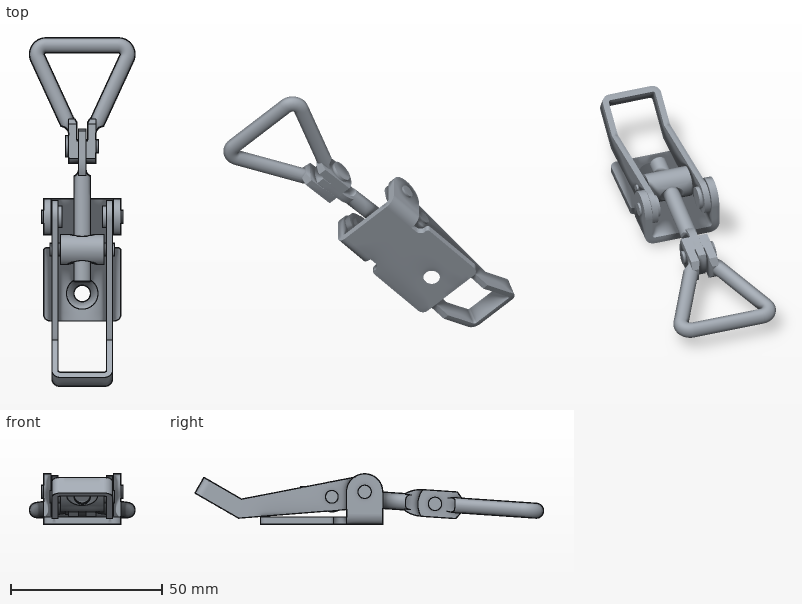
import cadquery as cq
import math


sheet = 2.5
base_half_width = 12.8
base_front_y = -34.5
ear_radius = 6.0
pivot_z = 10.8
ear_bend_radius = 3.4
ear_inner_x = base_half_width - sheet
front_corner_radius = 2.2
relief_end_y = -10.25
relief_inner_x = base_half_width - ear_bend_radius
relief_inner_radius = 2.0
relief_corner_radius = 1.0
screw_y = -25.4
screw_hole_radius = 2.7
countersink_radius = screw_hole_radius + sheet

lever_thickness = 2.05
lever_half_width = 10.05
lever_inner_x = lever_half_width - lever_thickness
lever_head_radius = 5.4
tip_angle = math.radians(30)
tip_bottom_y = -56.15
tip_bottom_z = 10.4
tip_height = 6.0
tip_top_length = 14.35
tip_bottom_length = 16.7
lever_corner_radius = 2.8

rivet_radius = 2.2
rivet_head_radius = 3.6
rivet_head_x = 6.75
rivet_end_x = 13.5

trunnion_y = -10.86
trunnion_z = 9.16
barrel_radius = 5.0
barrel_half_length = 7.2
journal_radius = 2.1
journal_end_x = 10.7
rod_radius = 2.75
front_countersink_start = 3.65
rear_countersink_start = 4.2
countersink_half_angle = math.radians(60)

rod_tilt = 3.9
rod_front = -10.6
rod_shoulder = 24.3
neck_fillet = 2.0
tongue_half_thickness = 1.3
tongue_half_height = 4.4
clevis_pin_at = 34.2
tongue_rear = clevis_pin_at + 5.8
tongue_rear_bulge = 1.0
tongue_taper_start = clevis_pin_at - 4.7
tongue_taper_radius = 9.2

pin_radius = 2.2
pin_head_radius = 3.6
pin_head_end_x = 5.6
pin_tail_end_x = 5.4

lug_outer_x = 4.5
lug_half_height = 4.45
lug_front = clevis_pin_at - 5.65
lug_front_bulge = 1.3
lug_rear = clevis_pin_at + 8.9
lug_rear_slope_length = 1.8
lug_rear_slope_height = 2.2
lug_step = clevis_pin_at + 1.6
lug_gap_half = 1.75
lug_corner_width = 0.6
wire_radius = 2.5
loop_bend_radius = 3.0
loop_half_width = 17.485
loop_bend_x = loop_half_width - wire_radius - loop_bend_radius
loop_bar_at = 67.69
leg_angle = math.radians(24.7)
leg_length = 30.0
leg_relief_x = 7.0
leg_relief_at = 38.3
leg_relief_depth = 6.0
leg_relief_radius = leg_relief_x - lug_outer_x


def x_cylinder(radius, start_x, end_x, y, z):
    """Round bar along X between two X positions."""
    return (
        cq.Workplane("YZ", origin=(start_x, 0, 0))
        .center(y, z)
        .circle(radius)
        .extrude(end_x - start_x)
    )


def tilt_to_rod(body):
    """Move a body from the rod's frame to its place on the latch."""
    return body.rotate((0, 0, 0), (1, 0, 0), -rod_tilt).translate((0, trunnion_y, trunnion_z))


def cone_along_y(start_y, start_radius, end_y, end_radius):
    """Cone frustum, or cylinder if both radii match, about the Y axis."""
    return (
        cq.Workplane("XY")
        .moveTo(0, start_y)
        .lineTo(start_radius, start_y)
        .lineTo(end_radius, end_y)
        .lineTo(0, end_y)
        .close()
        .revolve(360, (0, 0, 0), (0, 1, 0))
    )


def make_base():
    """Plate with two bent-up round ears and a countersunk screw hole."""
    length = ear_radius - base_front_y
    middle_y = (ear_radius + base_front_y) / 2
    ears = (
        cq.Workplane("XY")
        .rect(2 * base_half_width, 2 * ear_radius)
        .extrude(pivot_z)
        .edges("|Y and <Z")
        .fillet(ear_bend_radius)
        .union(x_cylinder(ear_radius, -base_half_width, base_half_width, 0, pivot_z))
    )
    channel = (
        cq.Workplane("XY", origin=(0, 0, sheet))
        .rect(2 * ear_inner_x, 2 * ear_radius)
        .extrude(pivot_z + ear_radius)
        .edges("|Y and <Z")
        .fillet(ear_bend_radius - sheet)
    )
    ears = ears.cut(channel)

    neck = (
        cq.Workplane("XY")
        .center(0, middle_y)
        .rect(2 * relief_inner_x, length)
        .extrude(sheet)
    )
    plate_length = relief_end_y - base_front_y
    plate = (
        cq.Workplane("XY")
        .center(0, base_front_y + plate_length / 2)
        .rect(2 * base_half_width, plate_length)
        .extrude(sheet)
        .edges("|Z and <Y")
        .fillet(front_corner_radius)
        .edges("|Z and >Y")
        .fillet(relief_corner_radius)
    )
    base = ears.union(neck).union(plate)
    for side in (-1, 1):
        corner_x = side * relief_inner_x
        gusset = (
            cq.Workplane("XY")
            .moveTo(corner_x, relief_end_y)
            .lineTo(corner_x + side * relief_inner_radius, relief_end_y)
            .radiusArc(
                (corner_x, relief_end_y + relief_inner_radius),
                side * relief_inner_radius,
            )
            .close()
            .extrude(sheet)
        )
        base = base.union(gusset)

    screw_hole = cq.Workplane("XY").add(
        cq.Solid.makeCone(screw_hole_radius, countersink_radius, sheet).translate(
            cq.Vector(0, screw_y, 0)
        )
    )
    pivot_holes = x_cylinder(rivet_radius, -base_half_width, base_half_width, 0, pivot_z)
    return base.cut(screw_hole).cut(pivot_holes)


def head_tangent_point(y, z, side):
    """Point where the line from (y, z) touches the lever head; side is +1 above, -1 below."""
    distance = math.hypot(y, z - pivot_z)
    toward = math.atan2(z - pivot_z, y)
    angle = toward - side * math.acos(lever_head_radius / distance)
    return (
        lever_head_radius * math.cos(angle),
        pivot_z + lever_head_radius * math.sin(angle),
    )


def make_lever():
    """U-shaped handle: two side plates joined by a cross plate at the bent-up tip."""
    cos_tip = math.cos(tip_angle)
    sin_tip = math.sin(tip_angle)
    tip_bottom = (tip_bottom_y, tip_bottom_z)
    tip_top = (tip_bottom_y + tip_height * sin_tip, tip_bottom_z + tip_height * cos_tip)
    bend_top = (tip_top[0] + tip_top_length * cos_tip, tip_top[1] - tip_top_length * sin_tip)
    bend_bottom = (
        tip_bottom[0] + tip_bottom_length * cos_tip,
        tip_bottom[1] - tip_bottom_length * sin_tip,
    )
    lever = (
        cq.Workplane("YZ", origin=(-lever_half_width, 0, 0))
        .moveTo(*head_tangent_point(*bend_top, 1))
        .threePointArc((lever_head_radius, pivot_z), head_tangent_point(*bend_bottom, -1))
        .lineTo(*bend_bottom)
        .lineTo(*tip_bottom)
        .lineTo(*tip_top)
        .lineTo(*bend_top)
        .close()
        .extrude(2 * lever_half_width)
    )
    tip_plane = cq.Plane(
        origin=(0, tip_bottom_y, tip_bottom_z),
        xDir=(1, 0, 0),
        normal=(0, sin_tip, cos_tip),
    )
    reach = 2 * abs(tip_bottom_y)

    def tip_block(half_width, front, corner_radius):
        return (
            cq.Workplane(tip_plane)
            .moveTo(-half_width, reach)
            .lineTo(-half_width, front + corner_radius)
            .radiusArc((-half_width + corner_radius, front), -corner_radius)
            .lineTo(half_width - corner_radius, front)
            .radiusArc((half_width, front + corner_radius), -corner_radius)
            .lineTo(half_width, reach)
            .close()
            .extrude(reach, both=True)
        )

    lever = lever.intersect(tip_block(lever_half_width, 0, lever_corner_radius))
    inner_radius = lever_corner_radius - lever_thickness
    lever = lever.cut(tip_block(lever_inner_x, lever_thickness, inner_radius))
    pivot_holes = x_cylinder(rivet_radius, -lever_half_width, lever_half_width, 0, pivot_z)
    journal_holes = x_cylinder(
        journal_radius, -lever_half_width, lever_half_width, trunnion_y, trunnion_z
    )
    return lever.cut(pivot_holes).cut(journal_holes)


def make_pivot_rivet(side):
    """Rivet through one ear and one lever side, with its head inside the lever."""
    shank = x_cylinder(rivet_radius, side * lever_inner_x, side * rivet_end_x, 0, pivot_z)
    head = x_cylinder(rivet_head_radius, side * rivet_head_x, side * lever_inner_x, 0, pivot_z)
    return shank.union(head)


def make_trunnion():
    """Barrel with a journal at each end and a cross hole countersunk at both mouths."""
    barrel = x_cylinder(barrel_radius, -barrel_half_length, barrel_half_length, 0, 0)
    journals = x_cylinder(journal_radius, -journal_end_x, journal_end_x, 0, 0)
    rod_hole = cone_along_y(-barrel_radius, rod_radius, barrel_radius, rod_radius)
    trunnion = barrel.union(journals).cut(rod_hole)
    for side, start in ((-1, front_countersink_start), (1, rear_countersink_start)):
        mouth_radius = rod_radius + (barrel_radius - start) * math.tan(countersink_half_angle)
        trunnion = trunnion.cut(
            cone_along_y(side * start, rod_radius, side * barrel_radius, mouth_radius)
        )
    return tilt_to_rod(trunnion)


def make_rod():
    """Round rod ending in a flat tongue that takes the clevis pin."""
    neck_end = rod_shoulder + neck_fillet
    rod = cone_along_y(rod_front, rod_radius, neck_end, rod_radius)
    for side in (-1, 1):
        flat_x = side * tongue_half_thickness
        fillet_center_x = side * (tongue_half_thickness + neck_fillet)
        neck_cut = (
            cq.Workplane("XY")
            .moveTo(flat_x, neck_end)
            .radiusArc((fillet_center_x, rod_shoulder), -side * neck_fillet)
            .lineTo(fillet_center_x, neck_end)
            .close()
            .extrude(rod_radius, both=True)
        )
        rod = rod.cut(neck_cut)

    taper_length = tongue_taper_start - rod_shoulder
    taper_drop = tongue_taper_radius - math.sqrt(tongue_taper_radius**2 - taper_length**2)
    taper_end_height = tongue_half_height - taper_drop
    tongue = (
        cq.Workplane("YZ", origin=(-tongue_half_thickness, 0, 0))
        .moveTo(rod_shoulder, taper_end_height)
        .radiusArc((tongue_taper_start, tongue_half_height), tongue_taper_radius)
        .lineTo(tongue_rear - tongue_rear_bulge, tongue_half_height)
        .threePointArc(
            (tongue_rear, 0),
            (tongue_rear - tongue_rear_bulge, -tongue_half_height),
        )
        .lineTo(tongue_taper_start, -tongue_half_height)
        .radiusArc((rod_shoulder, -taper_end_height), tongue_taper_radius)
        .close()
        .extrude(2 * tongue_half_thickness)
    )
    pin_hole = x_cylinder(
        pin_radius, -tongue_half_thickness, tongue_half_thickness, clevis_pin_at, 0
    )
    return tilt_to_rod(rod.union(tongue).cut(pin_hole))


def make_clevis_pin():
    """Headed pin through both lugs and the tongue."""
    shank = x_cylinder(pin_radius, -lug_outer_x, pin_tail_end_x, clevis_pin_at, 0)
    head = x_cylinder(pin_head_radius, -pin_head_end_x, -lug_outer_x, clevis_pin_at, 0)
    return tilt_to_rod(shank.union(head))


def make_lug(side):
    """Lug with an arched front and a sloped rear; its inner face steps away from the tongue."""
    rear_half_height = lug_half_height - lug_rear_slope_height
    plan_corner = lug_corner_width / math.tan(leg_angle)
    outline = (
        cq.Workplane("XY")
        .moveTo(side * lug_outer_x, lug_front)
        .lineTo(side * tongue_half_thickness, lug_front)
        .lineTo(side * tongue_half_thickness, lug_step)
        .lineTo(side * lug_gap_half, lug_step)
        .lineTo(side * lug_gap_half, lug_rear - plan_corner)
        .lineTo(side * (lug_gap_half + lug_corner_width), lug_rear)
        .lineTo(side * lug_outer_x, lug_rear)
        .close()
        .extrude(lug_half_height, both=True)
    )
    side_shape = (
        cq.Workplane("YZ")
        .moveTo(lug_rear, rear_half_height)
        .lineTo(lug_rear - lug_rear_slope_length, lug_half_height)
        .lineTo(lug_front + lug_front_bulge, lug_half_height)
        .threePointArc((lug_front, 0), (lug_front + lug_front_bulge, -lug_half_height))
        .lineTo(lug_rear - lug_rear_slope_length, -lug_half_height)
        .lineTo(lug_rear, -rear_half_height)
        .close()
        .extrude(lug_outer_x, both=True)
    )
    return outline.intersect(side_shape)


def make_wire():
    """Round wire bent into a triangle that is open toward the lugs."""
    bend_center_at = loop_bar_at - loop_bend_radius
    sweep_middle = (math.pi / 2 - leg_angle) / 2

    def on_bend(side, angle):
        x = side * (loop_bend_x + loop_bend_radius * math.cos(angle))
        return (x, bend_center_at + loop_bend_radius * math.sin(angle))

    def leg_end(side):
        x, y = on_bend(side, -leg_angle)
        return (x - side * leg_length * math.sin(leg_angle), y - leg_length * math.cos(leg_angle))

    path = (
        cq.Workplane("XY")
        .moveTo(*leg_end(-1))
        .lineTo(*on_bend(-1, -leg_angle))
        .threePointArc(on_bend(-1, sweep_middle), on_bend(-1, math.pi / 2))
        .lineTo(*on_bend(1, math.pi / 2))
        .threePointArc(on_bend(1, sweep_middle), on_bend(1, -leg_angle))
        .lineTo(*leg_end(1))
    )
    start = leg_end(-1)
    start_plane = cq.Plane(
        origin=(start[0], start[1], 0),
        xDir=(0, 0, 1),
        normal=(-math.sin(leg_angle), math.cos(leg_angle), 0),
    )
    return cq.Workplane(start_plane).circle(wire_radius).sweep(path)


def make_loop():
    """Wire loop joined to the two clevis lugs, cleared beside the pin ends."""
    gap_length = lug_rear - clevis_pin_at
    gap = (
        cq.Workplane("XY")
        .center(0, clevis_pin_at + gap_length / 2)
        .rect(2 * lug_gap_half, gap_length)
        .extrude(lug_half_height, both=True)
    )
    loop = make_wire().cut(gap)
    for side in (-1, 1):
        relief = (
            cq.Workplane("XY")
            .center(side * leg_relief_x, leg_relief_at)
            .circle(leg_relief_radius)
            .extrude(wire_radius, both=True)
        )
        clearance = (
            cq.Workplane("XY")
            .center(side * leg_relief_x, leg_relief_at - leg_relief_depth / 2)
            .rect(2 * leg_relief_radius, leg_relief_depth)
            .extrude(wire_radius, both=True)
        )
        loop = loop.cut(relief).cut(clearance).union(make_lug(side))
    pin_hole = x_cylinder(pin_radius, -lug_outer_x, lug_outer_x, clevis_pin_at, 0)
    return tilt_to_rod(loop.cut(pin_hole))


base = make_base()
lever = make_lever()
trunnion = make_trunnion()
rod = make_rod()
clevis_pin = make_clevis_pin()
loop = make_loop()
rivets = [make_pivot_rivet(side) for side in (-1, 1)]

bodies = [base, lever, trunnion, rod, clevis_pin, loop, *rivets]
result = cq.Compound.makeCompound([body.solids().val() for body in bodies])